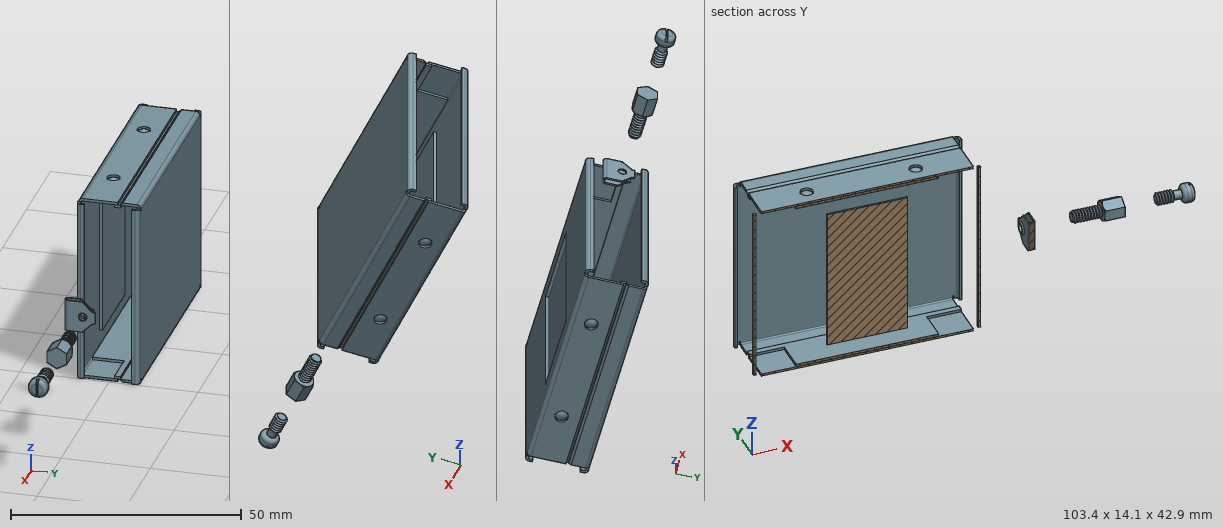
import cadquery as cq

total_length = 103.4
case_depth = 14.1
case_height = 42.9

case_width = 52.7
case_x = -(total_length - case_width) / 2
sheet = 0.6
bend_radius = 0.9
flange_width = 49.2
lip_length = 1.7
lip_height = case_height - 2 * sheet

front_flange_end = 1.8
flange_gap = 0.47
rear_flange_end = front_flange_end + flange_gap
rear_bevel = 0.67
rear_strip_start = 2.4
rear_strip_end = 1.0
tongue_width = 33.1
tongue_end = -case_depth / 2 + bend_radius

relief_width = 0.3
relief_depth = 0.6

recess_width = 17.5
recess_height = 32.8
recess_depth = 0.67
recess_fillet = 0.6

dimple_radius = 1.4
dimple_spacing = 25.3
dimple_y = -2.4

axis_y = -2.3

clip_x = 12.0
clip_sheet = 0.36
clip_thickness = 1.7
clip_width = 7.2
clip_bend = 0.67
clip_bottom = -6.4
clip_nose_width = 2.8
clip_nose_length = 0.6
clip_nose_fillet = 0.3
short_leaf_top = -0.1
long_leaf_top = 0.5
collar_height = 0.36
collar_base_radius = 1.5
collar_tip_radius = 1.2
clip_hole_radius = 0.9

thread_radius = 1.4
standoff_root_radius = 1.1
screw_root_radius = 1.0
pitch = 0.66

standoff_x = 23.5
standoff_thread_length = 6.9
standoff_ridges = 10
hex_across_flats = 4.4
hex_length = 4.8
hex_chamfer = 0.3

screw_ridges = 6
screw_length = 8.7
head_length = 2.8
screw_thread_length = 4.0
head_radius = 2.2
head_fillet = 0.9
slot_width = 0.5
slot_depth = 0.9


def box(x0, x1, y0, y1, z0, z1):
    """Box between two opposite corners."""
    return cq.Workplane("XY").box(x1 - x0, y1 - y0, z1 - z0, centered=False).translate((x0, y0, z0))


def bent_channel(width, leg, height):
    """Sheet channel along Z: base on the plane Y = 0, both legs towards +Y."""
    outer = box(-width / 2, width / 2, 0, leg, 0, height).edges("|Z and <Y").fillet(bend_radius)
    inner_half = width / 2 - sheet
    inner = box(-inner_half, inner_half, sheet, leg, 0, height)
    return outer.cut(inner.edges("|Z and <Y").fillet(bend_radius - sheet))


def bent_cover(flange_end):
    """Cover with its base at -Y, flanges at top and bottom, and a lip at each side."""
    base_y = -case_depth / 2
    flanges = (
        bent_channel(case_height, flange_end - base_y, flange_width)
        .translate((0, 0, -flange_width / 2))
        .rotate((0, 0, 0), (0, 1, 0), 90)
    )
    lips = bent_channel(case_width, lip_length, lip_height).translate((0, 0, -lip_height / 2))
    between_lips = flange_width / 2
    lips = lips.cut(
        box(-between_lips, between_lips, 0, lip_length, -lip_height / 2, lip_height / 2)
    )
    cover = flanges.union(lips)
    for side in (-1, 1):
        for end in (-1, 1):
            x_range = sorted((side * between_lips, side * (between_lips + relief_width)))
            z_range = sorted((end * (lip_height / 2 - relief_depth), end * lip_height / 2))
            cover = cover.cut(box(*x_range, 0, sheet, *z_range))
    return cover.translate((case_x, base_y, 0))


def dimple_places():
    """X position and flange end (-1 bottom, 1 top) of each dimple: two on each flange."""
    return [(case_x + side * dimple_spacing / 2, end) for side in (-1, 1) for end in (-1, 1)]


def dimple_hole(x, end):
    """Hole for one dimple, through a flange of the front cover."""
    start = end * (case_height / 2 - sheet)
    return cq.Workplane("XY", origin=(x, dimple_y, start)).circle(dimple_radius).extrude(end * sheet)


def dimple(x, end):
    """Spherical cap as high as the sheet, standing on a tongue of the rear cover."""
    base = case_height / 2 - sheet
    sphere_radius = (dimple_radius**2 + sheet**2) / (2 * sheet)
    centre = (x, dimple_y, end * (base + sheet - sphere_radius))
    sphere = cq.Workplane("XY").sphere(sphere_radius).translate(centre)
    return sphere.intersect(dimple_hole(x, end))


def make_front_cover():
    """Front cover with the pressed label recess and the holes for the snap dimples."""
    cover = bent_cover(front_flange_end)
    face_y = -case_depth / 2
    boss = box(
        case_x - recess_width / 2 - sheet,
        case_x + recess_width / 2 + sheet,
        face_y + sheet,
        face_y + recess_depth + sheet,
        -recess_height / 2 - sheet,
        recess_height / 2 + sheet,
    )
    recess = box(
        case_x - recess_width / 2,
        case_x + recess_width / 2,
        face_y,
        face_y + recess_depth,
        -recess_height / 2,
        recess_height / 2,
    )
    cover = cover.union(boss).cut(recess.faces(">Y").edges().fillet(recess_fillet))
    for x, end in dimple_places():
        cover = cover.cut(dimple_hole(x, end))
    return cover


def make_rear_cover():
    """Rear cover whose bevelled flanges carry a stepped-in strip, a tongue and two dimples each."""
    cover = bent_cover(-rear_flange_end).mirror("XZ")
    outer = case_height / 2
    inner = outer - sheet
    x0 = case_x - flange_width / 2
    x1 = case_x + flange_width / 2
    for end in (-1, 1):
        bevel = (
            cq.Workplane("YZ", origin=(x0, 0, 0))
            .polyline(
                [
                    (rear_flange_end, end * inner),
                    (rear_flange_end, end * outer),
                    (rear_flange_end + rear_bevel, end * outer),
                ]
            )
            .close()
            .extrude(flange_width)
        )
        strip_z = sorted((end * (inner - sheet), end * inner))
        strip = box(x0, x1, rear_strip_end, rear_strip_start, *strip_z)
        tongue = box(
            case_x - tongue_width / 2, case_x + tongue_width / 2, tongue_end, rear_strip_end, *strip_z
        )
        cover = cover.cut(bevel).union(strip).union(tongue)
    for x, end in dimple_places():
        cover = cover.union(dimple(x, end))
    return cover


def clip_leaf(top):
    """Leaf blank in the YZ plane, as deep as the whole clip: wide base, 45 degree shoulders, nose."""
    nose = clip_nose_width / 2
    half = clip_width / 2
    neck_y = top - clip_nose_length
    shoulder_y = neck_y - (half - nose)
    return (
        cq.Workplane("YZ", origin=(clip_x, 0, 0))
        .polyline(
            [
                (clip_bottom, -half),
                (shoulder_y, -half),
                (neck_y, -nose),
                (top, -nose),
                (top, nose),
                (neck_y, nose),
                (shoulder_y, half),
                (clip_bottom, half),
            ]
        )
        .close()
        .extrude(clip_thickness)
        .edges("|X and >Y")
        .fillet(clip_nose_fillet)
    )


def make_clip():
    """Folded clip: a short and a long leaf joined at the bottom, with a collared hole."""
    half = clip_width / 2
    middle_x = clip_x + clip_thickness / 2
    end_x = clip_x + clip_thickness
    short_side = clip_leaf(short_leaf_top).cut(
        box(middle_x, end_x, clip_bottom, long_leaf_top, -half, half)
    )
    long_side = clip_leaf(long_leaf_top).cut(
        box(clip_x, middle_x, clip_bottom, long_leaf_top, -half, half)
    )
    gap = box(
        clip_x + clip_sheet, end_x - clip_sheet, clip_bottom + clip_sheet, long_leaf_top, -half, half
    )
    gap = gap.edges("|Z and <Y").fillet(clip_bend - clip_sheet)
    collar = cq.Workplane("YZ", origin=(clip_x, axis_y, 0)).circle(collar_base_radius)
    collar = collar.workplane(offset=-collar_height).circle(collar_tip_radius).loft()
    hole = cq.Workplane("YZ", origin=(clip_x - collar_height, axis_y, 0)).circle(clip_hole_radius)
    body = short_side.union(long_side).edges("|Z and <Y").fillet(clip_bend)
    return body.cut(gap).union(collar).cut(hole.extrude(collar_height + clip_thickness))


def revolved(points):
    """Turned solid about the X axis from a half outline of (x, radius) points."""
    outline = cq.Workplane("XZ").polyline(points).close()
    return outline.revolve(360, (0, 0, 0), (1, 0, 0)).rotate((0, 0, 0), (1, 0, 0), 90)


def threaded_rod(thread_length, ridges, length, root_radius):
    """Rod along X from the origin, with ring ridges at the end of its threaded part."""
    points = [(0, 0), (0, root_radius)]
    for ridge in range(ridges):
        start = thread_length - (ridges - ridge) * pitch
        points += [(start, root_radius), (start + pitch / 2, thread_radius)]
    points += [(thread_length, root_radius), (length, root_radius), (length, 0)]
    return revolved(points)


def make_standoff():
    """Hexagon standoff with a threaded stud, chamfered where the stud leaves the hexagon."""
    rod_length = standoff_thread_length + hex_length
    rod = threaded_rod(standoff_thread_length, standoff_ridges, rod_length, standoff_root_radius)
    corner_radius = hex_across_flats / 3**0.5
    head = (
        cq.Workplane("YZ", origin=(standoff_thread_length, 0, 0))
        .polygon(6, 2 * corner_radius)
        .extrude(hex_length)
        .rotate((0, 0, 0), (1, 0, 0), 90)
    )
    envelope = (
        cq.Workplane("YZ", origin=(standoff_thread_length, 0, 0))
        .circle(corner_radius)
        .extrude(hex_length)
        .faces("<X")
        .chamfer(hex_chamfer)
    )
    return rod.union(head.intersect(envelope)).translate((standoff_x, axis_y, 0))


def make_screw():
    """Screw with a plain neck below a rounded head, slotted along Z."""
    head_x = screw_length - head_length
    rod = threaded_rod(screw_thread_length, screw_ridges, head_x, screw_root_radius)
    head = cq.Workplane("YZ", origin=(head_x, 0, 0)).circle(head_radius).extrude(head_length)
    head = head.edges().fillet(head_fillet)
    slot = box(
        screw_length - slot_depth, screw_length, -slot_width / 2, slot_width / 2, -head_radius, head_radius
    )
    screw_x = total_length / 2 - screw_length
    return rod.union(head.cut(slot)).translate((screw_x, axis_y, 0))


front_cover = make_front_cover()
rear_cover = make_rear_cover()
clip = make_clip()
standoff = make_standoff()
screw = make_screw()

result = cq.Compound.makeCompound(
    [front_cover.val(), rear_cover.val(), clip.val(), standoff.val(), screw.val()]
)